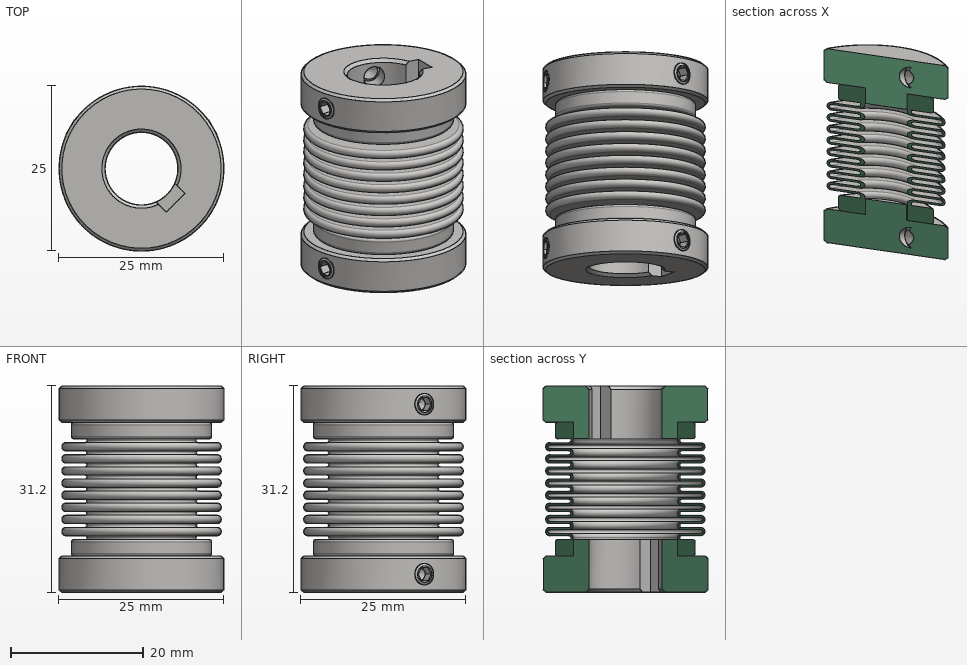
import cadquery as cq
import math


total_height = 31.25
outer_radius = 12.5

flange_height = 5.5
flange_chamfer_radial = 0.45
flange_chamfer_axial = 0.38
bore_radius = 5.5
bore_chamfer = 0.5

key_width = 4.0
key_reach = 7.3
key_angle = -45.0

screw_angles = (30.0, 150.0)
screw_radius = 1.62
screw_outer_reach = 12.5
screw_tip_reach = 8.0
screw_head_radius = 1.25
screw_tip_radius = 1.25
screw_head_chamfer = 0.22
screw_tip_chamfer = 0.25
screw_cup_depth = 0.62
hex_across_flats = 2.0
hex_depth = 1.65
hex_cone_depth = 0.55

collar_radius = 10.62
collar_height = 2.5
collar_fillet = 0.38
convolution_count = 8
gap_width = 0.55
convolution_radius = 12.1
root_radius = 8.28

half_height = total_height / 2
flange_bottom = half_height - flange_height
spigot_bottom = flange_bottom - collar_height
screw_z = half_height - flange_height / 2
corrugated_height = 2 * spigot_bottom
convolution_width = (corrugated_height - (convolution_count + 1) * gap_width) / convolution_count
convolution_pitch = convolution_width + gap_width
wall = (convolution_width - gap_width) / 2
spigot_radius = root_radius - wall


def make_hub_blank():
    """Flange and spigot turned in one piece, with a chamfered bore."""
    flange_edge = outer_radius - flange_chamfer_radial
    return (
        cq.Workplane("XZ")
        .moveTo(bore_radius, spigot_bottom)
        .lineTo(spigot_radius, spigot_bottom)
        .lineTo(spigot_radius, flange_bottom)
        .lineTo(flange_edge, flange_bottom)
        .lineTo(outer_radius, flange_bottom + flange_chamfer_axial)
        .lineTo(outer_radius, half_height - flange_chamfer_axial)
        .lineTo(flange_edge, half_height)
        .lineTo(bore_radius + bore_chamfer, half_height)
        .lineTo(bore_radius, half_height - bore_chamfer)
        .close()
        .revolve(360, (0, 0, 0), (0, 1, 0))
    )


def make_keyway():
    """Slot along the whole bore, running from the axis out to the keyway floor."""
    return (
        cq.Workplane("XY", origin=(0, 0, spigot_bottom))
        .rect(key_reach, key_width)
        .extrude(flange_height + collar_height)
        .translate((key_reach / 2, 0, 0))
        .rotate((0, 0, 0), (0, 0, 1), key_angle)
    )


def make_screw_hole():
    """Radial hole along +X, from the bore axis through the flange."""
    hole_length = outer_radius + screw_radius
    return cq.Workplane("YZ").circle(screw_radius).extrude(hole_length).translate((0, 0, screw_z))


def make_screw():
    """Set screw along +X with chamfered ends and a hexagon socket with a conical floor."""
    body = (
        cq.Workplane("XY")
        .moveTo(screw_tip_reach + screw_cup_depth, 0)
        .lineTo(screw_tip_reach, screw_tip_radius)
        .lineTo(screw_tip_reach + screw_tip_chamfer, screw_radius)
        .lineTo(screw_outer_reach - screw_head_chamfer, screw_radius)
        .lineTo(screw_outer_reach, screw_head_radius)
        .lineTo(screw_outer_reach, 0)
        .close()
        .revolve(360, (0, 0, 0), (1, 0, 0))
    )
    socket_floor = screw_outer_reach - hex_depth
    socket = (
        cq.Workplane("YZ", origin=(socket_floor, 0, 0))
        .polygon(6, hex_across_flats / math.cos(math.pi / 6))
        .extrude(hex_depth)
    )
    floor_cone = cq.Workplane(
        cq.Solid.makeCone(
            hex_across_flats / 2, 0, hex_cone_depth, cq.Vector(socket_floor, 0, 0), cq.Vector(-1, 0, 0)
        )
    )
    return body.cut(socket).cut(floor_cone).translate((0, 0, screw_z))


def make_hub():
    """Upper hub, with its keyway and its set screws."""
    hub = make_hub_blank().cut(make_keyway())
    for angle in screw_angles:
        hole = make_screw_hole().rotate((0, 0, 0), (0, 0, 1), angle)
        screw = make_screw().rotate((0, 0, 0), (0, 0, 1), angle)
        hub = hub.cut(hole).union(screw)
    return hub


def make_wave(root, crest, root_round, crest_round):
    """Solid between the hub flanges whose side undulates between the root and crest radii."""
    diagonal = math.sqrt(0.5) * root_round
    wall_bottom = root + root_round
    wall_top = crest - crest_round
    first_z = -convolution_pitch * (convolution_count - 1) / 2

    profile = (
        cq.Workplane("XZ")
        .moveTo(0, -flange_bottom)
        .lineTo(root, -flange_bottom)
        .lineTo(root, first_z - crest_round - root_round)
    )
    for index in range(convolution_count):
        middle = first_z + index * convolution_pitch
        lower = middle - crest_round
        upper = middle + crest_round
        profile = (
            profile.threePointArc(
                (wall_bottom - diagonal, lower - root_round + diagonal), (wall_bottom, lower)
            )
            .lineTo(wall_top, lower)
            .threePointArc((crest, middle), (wall_top, upper))
            .lineTo(wall_bottom, upper)
            .threePointArc(
                (wall_bottom - diagonal, upper + root_round - diagonal), (root, upper + root_round)
            )
        )
    return (
        profile.lineTo(root, flange_bottom)
        .lineTo(0, flange_bottom)
        .close()
        .revolve(360, (0, 0, 0), (0, 1, 0))
    )


def make_collar(bottom):
    """Plain end collar with both rims rounded, as a disc before the bore is cut."""
    return (
        cq.Workplane("XY", origin=(0, 0, bottom))
        .circle(collar_radius)
        .extrude(collar_height)
        .edges()
        .fillet(collar_fillet)
    )


def make_bellows():
    """Thin corrugated wall with a round-edged collar at each end that fits over a spigot."""
    outside = make_wave(root_radius, convolution_radius, gap_width / 2, convolution_width / 2)
    for collar_bottom in (-flange_bottom, spigot_bottom):
        outside = outside.union(make_collar(collar_bottom))
    inside = make_wave(
        spigot_radius, convolution_radius - wall, gap_width / 2 + wall, convolution_width / 2 - wall
    )
    return outside.cut(inside)


hubs = []
for turn in (0, 180):
    hubs.append(make_hub().rotate((0, 0, 0), (0, 1, 0), turn).val())

bellows = make_bellows()

result = cq.Compound.makeCompound([*hubs, bellows.val()])